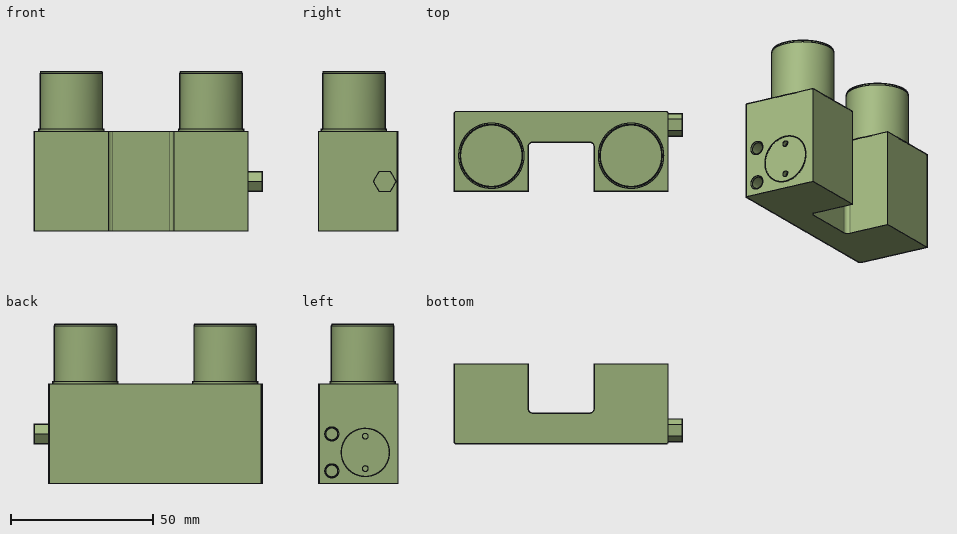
import cadquery as cq

BLOCK_LENGTH = 75.1
BLOCK_DEPTH = 28.0
BLOCK_HEIGHT = 35.0
BACK_CORNER_CHAMFER = 0.5

RELIEF_WIDTH = 23.1
WEB_THICKNESS = 10.8
RELIEF_CORNER_RADIUS = 1.5

OVERALL_HEIGHT = 56.0
CYLINDER_HEIGHT = OVERALL_HEIGHT - BLOCK_HEIGHT
CYLINDER_DIAMETER = 22.0
CYLINDER_SPACING = 49.0
CYLINDER_Y = 12.5
COLLAR_DIAMETER = 23.0
COLLAR_HEIGHT = 0.8
RIM_HEIGHT = 0.7
RIM_INSET = 0.25

PORT_DIAMETER = 4.2
PORT_MOUTH_DIAMETER = 5.0
PORT_DEPTH = 9.6
PORT_Y = 23.3
UPPER_PORT_Z = 17.5
PORT_SPACING = 13.0
COUNTERSINK_ANGLE = 90.0

CAP_DIAMETER = 17.0
CAP_Y = 11.5
CAP_Z = 11.0
CAP_GROOVE_WIDTH = 0.1
CAP_GROOVE_DEPTH = 0.5
SPANNER_HOLE_DIAMETER = 2.0
SPANNER_HOLE_SPACING = 11.4
SPANNER_HOLE_DEPTH = 2.0

OVERALL_LENGTH = 80.1
HEX_LENGTH = OVERALL_LENGTH - BLOCK_LENGTH
HEX_ACROSS_CORNERS = 8.0


def left_end(y, z):
    """Workplane on the left end centred on (y, z), with its normal pointing out of the block."""
    return cq.Workplane("YZ", origin=(0, y, z)).transformed(rotate=(0, 180, 0))


def make_block():
    block = cq.Workplane("XY").box(BLOCK_LENGTH, BLOCK_DEPTH, BLOCK_HEIGHT, centered=False)
    return block.edges("|Z and >Y").chamfer(BACK_CORNER_CHAMFER)


def make_relief():
    relief = cq.Workplane("XY").box(
        RELIEF_WIDTH, BLOCK_DEPTH - WEB_THICKNESS, BLOCK_HEIGHT, centered=False
    )
    relief = relief.edges("|Z and >Y").fillet(RELIEF_CORNER_RADIUS)
    return relief.translate(((BLOCK_LENGTH - RELIEF_WIDTH) / 2, 0, 0))


def add_ports(body):
    for z in (UPPER_PORT_Z, UPPER_PORT_Z - PORT_SPACING):
        body = body.copyWorkplane(left_end(PORT_Y, z)).cskHole(
            PORT_DIAMETER, PORT_MOUTH_DIAMETER, COUNTERSINK_ANGLE, PORT_DEPTH
        )
    return body


def add_cap_outline(body):
    """Cut the thin groove around the cap and the two spanner holes inside it."""
    groove = (
        left_end(CAP_Y, CAP_Z)
        .circle(CAP_DIAMETER / 2)
        .circle(CAP_DIAMETER / 2 - CAP_GROOVE_WIDTH)
        .extrude(-CAP_GROOVE_DEPTH)
    )
    spanner_holes = (
        left_end(CAP_Y, CAP_Z)
        .rarray(0.8, SPANNER_HOLE_SPACING, 1, 2)
        .circle(SPANNER_HOLE_DIAMETER / 2)
        .extrude(-SPANNER_HOLE_DEPTH)
    )
    return body.cut(groove).cut(spanner_holes)


def make_hexagon():
    """Hexagonal prism with flats facing up and down."""
    return (
        cq.Workplane("YZ", origin=(BLOCK_LENGTH, PORT_Y, UPPER_PORT_Z))
        .polygon(6, HEX_ACROSS_CORNERS)
        .extrude(HEX_LENGTH)
    )


def make_housing():
    body = make_block().cut(make_relief())
    body = add_ports(body)
    body = add_cap_outline(body)
    return body.union(make_hexagon())


def make_cylinder(x):
    base = cq.Workplane("XY", origin=(x, CYLINDER_Y, BLOCK_HEIGHT))
    collar = base.circle(COLLAR_DIAMETER / 2).extrude(COLLAR_HEIGHT)
    barrel = base.circle(CYLINDER_DIAMETER / 2).extrude(CYLINDER_HEIGHT)
    barrel = barrel.faces(">Z").chamfer(RIM_HEIGHT, RIM_INSET)
    return collar.union(barrel)


housing = make_housing()
cylinders = []
for side in (-1, 1):
    cylinder_x = (BLOCK_LENGTH + side * CYLINDER_SPACING) / 2
    cylinders.append(make_cylinder(cylinder_x).val())

result = cq.Compound.makeCompound([housing.val(), *cylinders])